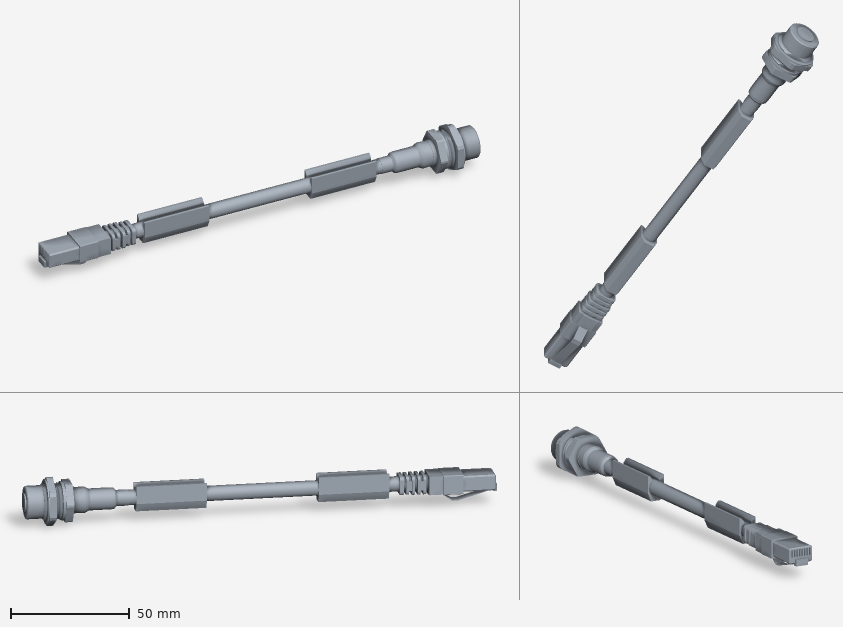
import cadquery as cq
total_length = 202.0

cable_radius = 3.2

nose_radius = 4.0
nose_length = 0.6
head_radius = 7.0
head_chamfer = 0.5
flat_half_height = head_radius - 0.06
thread_end_y = 194.2
thread_start_y = 186.2
thread_ridges = 5
thread_crest_radius = 8.3
thread_root_radius = 7.3
seal_radius = 8.3
flange_y = 185.0
flange_thickness = 3.2
flange_flat = 8.3
flange_corner = 9.3
neck_radius = 5.7
neck_step_radius = 5.5
neck_step_y = 180.0
neck_end_y = 176.3
neck_cone_radius = 5.2
neck_cone_y = 175.2
barrel_radius = 4.6
barrel_start_y = 174.2
barrel_taper_y = 164.8
barrel_cone_radius = 4.5
barrel_cone_y = 163.3
tail_radius = 3.5
tail_start_y = 162.3
tail_end_y = 157.3

nut_flat = 9.5
nut_corner = 10.5
nut_y = 189.4
nut_thickness = 2.8
nut_collar_thickness = 0.6

clip_starts_y = (46.2, 124.2)
clip_length = 30.0
clip_half_width = 3.8
clip_top_z = 5.5
clip_bottom_z = -5.7
clip_bevel_z = -2.0
clip_base_half_width = 2.2
channel_top_half_width = 2.8
channel_throat_half_width = 1.6
channel_throat_z = 3.8
channel_floor_z = 2.6

boot_half_height = 4.0
boot_corner_radius = 1.6
boot_collar_half_width = 4.6
boot_collar_end_y = 41.8
boot_collar_length = 1.6
rib_first_y = 38.5
rib_pitch = 2.5
rib_thickness = 1.2
rib_half_widths = (4.6, 5.2, 5.2, 5.2)
side_link_half_height = 2.0
side_link_width = 0.8

shoulder_end_y = 29.5
shoulder_half_width = 5.9
grip_end_y = 23.6
grip_start_y = 15.0
grip_half_width = 6.3
grip_half_height = 4.2
grip_fillet = 0.5
plug_start_y = 1.0
plug_half_width = 5.7
plug_half_height = 3.5
plug_chamfer = 0.5
plug_long_edge_chamfer = 0.6
contact_count = 8
contact_pitch = 1.2
contact_width = 0.6
contact_depth = 3.0
contact_bottom_z = -0.6
contact_top_z = 2.6

latch_half_width = 2.0
latch_root_half_width = 3.6
latch_thickness = 0.5
latch_root_z = -4.5
latch_bend_y = 19.0
latch_bend_z = -7.7
latch_knee_y = 16.8
latch_tip_y = 2.5
latch_tip_z = -3.6
foot_half_width = 2.8
foot_length = 1.8
foot_top_z = -1.6
foot_bottom_z = -4.5


def block(half_width, start_y, end_y, bottom_z, top_z):
    """Box centred on x = 0."""
    return cq.Workplane("XY").box(
        2 * half_width, end_y - start_y, top_z - bottom_z, centered=(True, False, False)
    ).translate((0, start_y, bottom_z))


def cylinder(radius, start_y, end_y):
    """Cylinder on the cable line."""
    return cq.Workplane("XZ", origin=(0, start_y, 0)).circle(radius).extrude(start_y - end_y)


def turned(profile):
    """Solid of revolution about the cable line from (radius, y) points."""
    return cq.Workplane("XY").polyline(profile).close().revolve(360, (0, 0), (0, 1))


def hexagon(flat, corner, start_y, thickness, turn):
    """Hexagonal prism with cut corners; flat and corner are distances from the cable line."""
    def prism(inner_radius, angle):
        return (
            cq.Workplane("XZ", origin=(0, start_y, 0))
            .polygon(6, 2 * inner_radius, circumscribed=True)
            .extrude(-thickness)
            .rotate((0, 0, 0), (0, 1, 0), angle)
        )

    return prism(flat, turn).intersect(prism(corner, turn + 30))


def make_thread():
    """Threaded neck, drawn as a stack of V ridges."""
    pitch = (thread_end_y - thread_start_y) / thread_ridges
    profile = [(0, thread_start_y), (thread_root_radius, thread_start_y)]
    for ridge in range(thread_ridges):
        ridge_y = thread_start_y + ridge * pitch
        profile.append((thread_crest_radius, ridge_y + pitch / 2))
        profile.append((thread_root_radius, ridge_y + pitch))
    profile.append((0, thread_end_y))
    return turned(profile)


def make_socket():
    """Head, flatted thread, seal, flange and the stepped tail around the cable."""
    head_end_y = total_length - nose_length
    nose = cylinder(nose_radius, head_end_y, total_length)
    head = cylinder(head_radius, thread_end_y, head_end_y).faces(">Y").chamfer(head_chamfer)
    flats = block(2 * head_radius, thread_start_y, total_length, -flat_half_height, flat_half_height)
    threaded_head = head.union(make_thread()).intersect(flats)
    seal = cylinder(seal_radius, flange_y, thread_start_y)
    flange = hexagon(flange_flat, flange_corner, flange_y - flange_thickness, flange_thickness, 30)
    tail = turned([
        (0, flange_y),
        (neck_radius, flange_y),
        (neck_radius, neck_step_y),
        (neck_step_radius, neck_step_y),
        (neck_radius, neck_end_y),
        (neck_cone_radius, neck_cone_y),
        (barrel_radius, barrel_start_y),
        (barrel_radius, barrel_taper_y),
        (barrel_cone_radius, barrel_cone_y),
        (tail_radius, tail_start_y),
        (tail_radius, tail_end_y),
        (0, tail_end_y),
    ])
    return threaded_head.union(nose).union(seal).union(flange).union(tail)


def make_nut():
    """Hexagonal panel nut with a round collar, cut to match the thread."""
    collar_y = nut_y + nut_thickness
    hexagonal_part = hexagon(nut_flat, nut_corner, nut_y, nut_thickness, 0)
    collar = cylinder(nut_flat, collar_y, collar_y + nut_collar_thickness)
    return hexagonal_part.union(collar).cut(make_thread())


def make_clip(start_y):
    """Bar around the cable with a bevelled underside and a channel with flared lips along its top."""
    right_side = [
        (clip_base_half_width, clip_bottom_z),
        (clip_half_width, clip_bevel_z),
        (clip_half_width, clip_top_z),
        (channel_top_half_width, clip_top_z),
        (channel_throat_half_width, channel_throat_z),
        (channel_throat_half_width, channel_floor_z),
    ]
    left_side = [(-x, z) for x, z in reversed(right_side)]
    return (
        cq.Workplane("XZ", origin=(0, start_y, 0))
        .polyline(right_side + left_side)
        .close()
        .extrude(-clip_length)
    )


def boot_plate(half_width, start_y, end_y):
    """Plate across the boot with rounded corners."""
    plate = block(half_width, start_y, end_y, -boot_half_height, boot_half_height)
    return plate.edges("|Y").fillet(boot_corner_radius)


def make_boot():
    """Collar and ribs around the cable, with side links between ribs 1-2 and 3-4."""
    boot = boot_plate(boot_collar_half_width, boot_collar_end_y - boot_collar_length, boot_collar_end_y)
    boot = boot.union(cylinder(tail_radius, shoulder_end_y, boot_collar_end_y))
    for index, half_width in enumerate(rib_half_widths):
        rib_y = rib_first_y - index * rib_pitch
        boot = boot.union(boot_plate(half_width, rib_y - rib_thickness / 2, rib_y + rib_thickness / 2))
        if index % 2 == 0:
            link = block(
                side_link_width / 2, rib_y - rib_pitch, rib_y, -side_link_half_height, side_link_half_height
            )
            link_x = half_width - side_link_width / 2
            for side in (-1, 1):
                boot = boot.union(link.translate((side * link_x, 0, 0)))
    return boot


def make_latch():
    """Bent spring strip from the shoulder to a foot below the plug tip."""
    upper_edge = [
        (grip_end_y, latch_root_z),
        (latch_bend_y, latch_bend_z),
        (latch_knee_y, latch_bend_z),
        (latch_tip_y, latch_tip_z),
        (0, latch_tip_z),
    ]
    lower_edge = [(y, z - latch_thickness) for y, z in reversed(upper_edge)]
    strip = (
        cq.Workplane("YZ")
        .polyline(upper_edge + lower_edge)
        .close()
        .extrude(latch_half_width, both=True)
    )
    root = block(
        latch_root_half_width, grip_end_y, shoulder_end_y, latch_root_z - latch_thickness / 2, -plug_half_height
    )
    foot = block(foot_half_width, 0, foot_length, foot_bottom_z, foot_top_z)
    return strip.union(root).union(foot)


def make_plug():
    """Shoulder, grip and plug nose with a row of contact slots in its front."""
    shoulder = block(shoulder_half_width, grip_end_y, shoulder_end_y, -boot_half_height, boot_half_height)
    grip = block(grip_half_width, grip_start_y, grip_end_y, -grip_half_height, grip_half_height)
    grip = grip.edges("|Y").fillet(grip_fillet)
    nose = block(plug_half_width, plug_start_y, grip_start_y, -plug_half_height, plug_half_height)
    nose = nose.edges("|Y").chamfer(plug_long_edge_chamfer).faces("<Y").chamfer(plug_chamfer)
    for index in range(contact_count):
        slot_x = (index - (contact_count - 1) / 2) * contact_pitch
        slot = block(
            contact_width / 2, plug_start_y, plug_start_y + contact_depth, contact_bottom_z, contact_top_z
        )
        nose = nose.cut(slot.translate((slot_x, 0, 0)))
    return shoulder.union(grip).union(nose).union(make_latch())


def make_cable_assembly():
    """One solid: cable with its socket, clips, boot and plug."""
    assembly = cylinder(cable_radius, shoulder_end_y, tail_end_y)
    for start_y in clip_starts_y:
        assembly = assembly.union(make_clip(start_y))
    return assembly.union(make_socket()).union(make_boot()).union(make_plug())


cable_assembly = make_cable_assembly().solids()
nut = make_nut().solids()

result = cq.Compound.makeCompound([cable_assembly.val(), nut.val()])